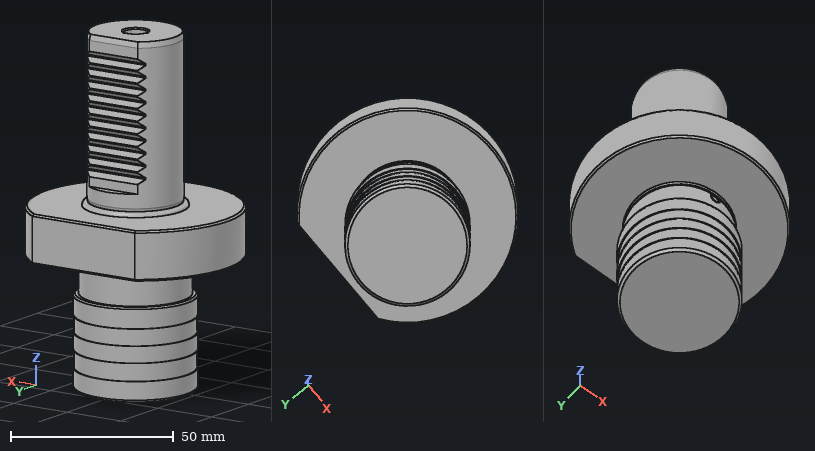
import cadquery as cq
import math

TOTAL_HEIGHT = 113.0
SHANK_LENGTH = 55.0
FLANGE_THICKNESS = 15.9
FLANGE_TOP = TOTAL_HEIGHT - SHANK_LENGTH
FLANGE_BOTTOM = FLANGE_TOP - FLANGE_THICKNESS

SPIGOT_RADIUS = 19.2
BAND_GROOVE_DIAMETER = 37.9
BAND_GROOVE_RADIUS = BAND_GROOVE_DIAMETER / 2
SPIGOT_HEIGHT = 30.2
SPIGOT_BOTTOM_CHAMFER = 0.9
SPIGOT_TOP_CHAMFER = 0.6
BAND_GROOVES = [(6.8, 12.5), (18.0, 23.4)]

NECK_RADIUS = 17.5
RELIEF_DEPTH = 0.5
RELIEF_SLOPE = 0.62
RELIEF_START = 40.1

RADIAL_BORE_RADIUS = 1.5
RADIAL_BORE_DEPTH = 1.7
RADIAL_PILOT_RADIUS = 0.6
RADIAL_PILOT_DEPTH = 4.5
RADIAL_HOLE_HEIGHT = 38.9

FLANGE_DIAMETER = 67.9
FLANGE_RADIUS = FLANGE_DIAMETER / 2
FLANGE_WIDTH_ACROSS_FLAT = 62.0
FLANGE_FLAT_Y = FLANGE_WIDTH_ACROSS_FLAT - FLANGE_RADIUS
FLANGE_CHAMFER = 0.62

FLANGE_HOLE_X = 12.5
FLANGE_HOLE_Y = -21.7
FLANGE_HOLE_RADIUS = 7.1
FLANGE_HOLE_DEPTH = 7.7
HOLE_CHAMFER = 0.5
DRILL_POINT_ANGLE = 118.0

SHANK_DIAMETER = 30.0
SHANK_RADIUS = SHANK_DIAMETER / 2
SHANK_FLAT_Y = 12.0
SHANK_FLAT_BOTTOM = 65.0
SHANK_CHAMFER_HEIGHT = 1.8
SHANK_CHAMFER_WIDTH = 0.5
SHANK_FOOT = 60.5
SHANK_FOOT_RADIUS = 14.5

TOOTH_GAP_COUNT = 10
FIRST_TO_LAST_GAP = 36.0
TOOTH_PITCH = FIRST_TO_LAST_GAP / (TOOTH_GAP_COUNT - 1)
TOOTH_DEPTH = 1.7
TOOTH_HALF_OPENING = 1.8
TOOTH_HALF_ROOT = 0.2
TOP_GAP_DROP = 7.1

CENTRE_HOLE_RADIUS = 3.8
CENTRE_HOLE_DEPTH = 13.6

RING_RADIUS = 15.0
RING_SECTION_RADIUS = 1.5


def cylinder(radius, bottom, top):
    return cq.Workplane("XY").workplane(offset=bottom).circle(radius).extrude(top - bottom)


def spigot():
    body = cylinder(SPIGOT_RADIUS, 0, SPIGOT_HEIGHT)
    body = body.faces("<Z").chamfer(SPIGOT_BOTTOM_CHAMFER)
    body = body.faces(">Z").chamfer(SPIGOT_TOP_CHAMFER)
    for bottom, top in BAND_GROOVES:
        band = cylinder(SPIGOT_RADIUS, bottom, top).cut(cylinder(BAND_GROOVE_RADIUS, bottom, top))
        body = body.cut(band)
    return body


def neck():
    relief_radius = NECK_RADIUS - RELIEF_DEPTH
    return (
        cq.Workplane("XZ")
        .moveTo(0, SPIGOT_HEIGHT)
        .lineTo(NECK_RADIUS, SPIGOT_HEIGHT)
        .lineTo(NECK_RADIUS, RELIEF_START)
        .lineTo(relief_radius, RELIEF_START + RELIEF_SLOPE)
        .lineTo(relief_radius, FLANGE_BOTTOM - RELIEF_SLOPE)
        .lineTo(NECK_RADIUS, FLANGE_BOTTOM)
        .lineTo(0, FLANGE_BOTTOM)
        .close()
        .revolve(360, (0, 0), (0, 1))
    )


def beyond_flat(flat_y, bottom, top):
    """Block that trims everything past a flat on the +Y side."""
    size = 2 * FLANGE_RADIUS
    block = cq.Workplane("XY").box(size, size, top - bottom, centered=(True, False, False))
    return block.translate((0, flat_y, bottom))


def flange():
    body = cylinder(FLANGE_RADIUS, FLANGE_BOTTOM, FLANGE_TOP)
    body = body.cut(beyond_flat(FLANGE_FLAT_Y, FLANGE_BOTTOM, FLANGE_TOP))
    return body.faces("<Z or >Z").chamfer(FLANGE_CHAMFER)


def tooth_gaps():
    gaps = cq.Workplane("YZ")
    for index in range(TOOTH_GAP_COUNT):
        middle = TOTAL_HEIGHT - TOP_GAP_DROP - index * TOOTH_PITCH
        gaps = (
            gaps.moveTo(SHANK_FLAT_Y, middle - TOOTH_HALF_OPENING)
            .lineTo(SHANK_FLAT_Y, middle + TOOTH_HALF_OPENING)
            .lineTo(SHANK_FLAT_Y - TOOTH_DEPTH, middle + TOOTH_HALF_ROOT)
            .lineTo(SHANK_FLAT_Y - TOOTH_DEPTH, middle - TOOTH_HALF_ROOT)
            .close()
        )
    return gaps.extrude(SHANK_RADIUS, both=True)


def shank():
    chamfer_start = TOTAL_HEIGHT - SHANK_CHAMFER_HEIGHT
    body = cylinder(SHANK_RADIUS, SHANK_FOOT, chamfer_start)
    body = body.cut(beyond_flat(SHANK_FLAT_Y, SHANK_FLAT_BOTTOM, TOTAL_HEIGHT))
    taper = math.degrees(math.atan(SHANK_CHAMFER_WIDTH / SHANK_CHAMFER_HEIGHT))
    tip = body.faces(">Z").wires().toPending().extrude(SHANK_CHAMFER_HEIGHT, taper=taper, combine=False)
    foot = (
        cq.Workplane("XY")
        .workplane(offset=FLANGE_TOP)
        .circle(SHANK_FOOT_RADIUS)
        .workplane(offset=SHANK_FOOT - FLANGE_TOP)
        .circle(SHANK_RADIUS)
        .loft()
    )
    return body.union(tip).union(foot).cut(tooth_gaps())


def mouth_chamfer(radius, top):
    """Cone that breaks the edge of a hole at its mouth."""
    cone = cq.Solid.makeCone(radius, radius + HOLE_CHAMFER, HOLE_CHAMFER)
    return cq.Workplane(cone.translate(cq.Vector(0, 0, top - HOLE_CHAMFER)))


def drill(radius, depth):
    """Drill with its shoulder at the given depth below the origin, pointing along -Z."""
    point_length = radius / math.tan(math.radians(DRILL_POINT_ANGLE / 2))
    return (
        cq.Workplane("XZ")
        .lineTo(radius, 0)
        .lineTo(radius, -depth)
        .lineTo(0, -depth - point_length)
        .close()
        .revolve(360, (0, 0), (0, 1))
    )


def flange_hole():
    hole = drill(FLANGE_HOLE_RADIUS, FLANGE_HOLE_DEPTH).union(mouth_chamfer(FLANGE_HOLE_RADIUS, 0))
    return hole.translate((FLANGE_HOLE_X, FLANGE_HOLE_Y, FLANGE_TOP))


def centre_hole():
    hole = cylinder(CENTRE_HOLE_RADIUS, TOTAL_HEIGHT - CENTRE_HOLE_DEPTH, TOTAL_HEIGHT)
    return hole.union(mouth_chamfer(CENTRE_HOLE_RADIUS, TOTAL_HEIGHT))


def radial_hole():
    """Two chamfered steps, sunk along -Z from the origin and then turned to point along +Y."""
    bore = cylinder(RADIAL_BORE_RADIUS, -RADIAL_BORE_DEPTH, 0)
    pilot = cylinder(RADIAL_PILOT_RADIUS, -RADIAL_PILOT_DEPTH, -RADIAL_BORE_DEPTH)
    hole = bore.union(mouth_chamfer(RADIAL_BORE_RADIUS, 0))
    hole = hole.union(pilot).union(mouth_chamfer(RADIAL_PILOT_RADIUS, -RADIAL_BORE_DEPTH))
    return hole.rotate((0, 0, 0), (1, 0, 0), 90).translate((0, -NECK_RADIUS, RADIAL_HOLE_HEIGHT))


def make_ring():
    ring = cq.Solid.makeTorus(RING_RADIUS, RING_SECTION_RADIUS, cq.Vector(0, 0, FLANGE_TOP))
    return cq.Workplane(ring)


def make_holder():
    body = spigot().union(neck()).union(flange()).union(shank())
    body = body.cut(flange_hole()).cut(centre_hole()).cut(radial_hole())
    return body.cut(make_ring())


holder = make_holder()
ring = make_ring()

result = cq.Compound.makeCompound([holder.val(), ring.val()])